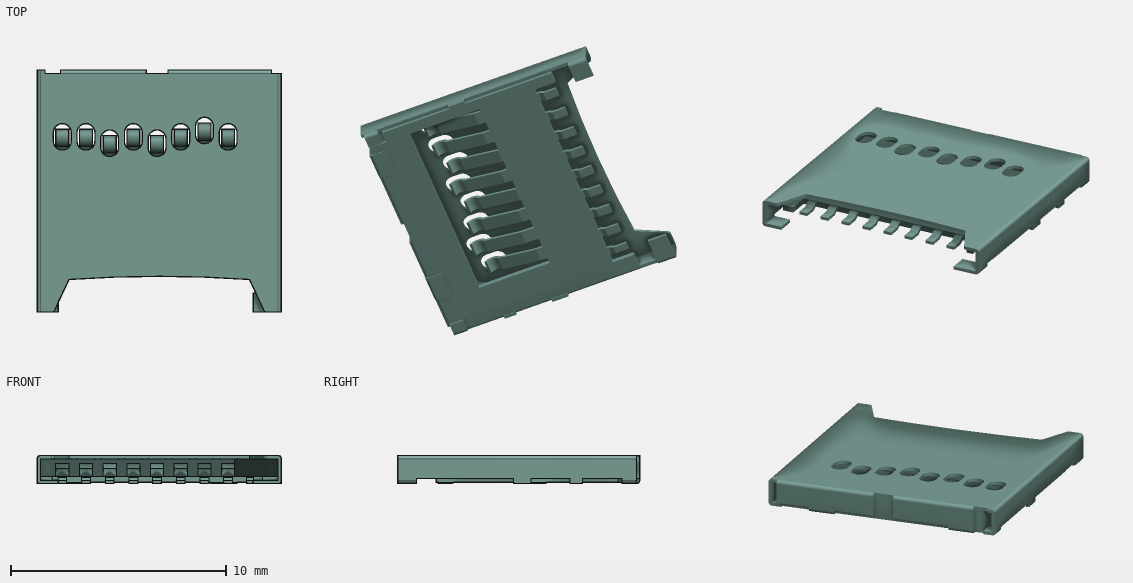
import cadquery as cq
import math

WIDTH = 11.35
LENGTH = 11.25
HEIGHT = 1.32

SHEET = 0.16
HALF_WIDTH = WIDTH / 2
INNER_HALF_WIDTH = HALF_WIDTH - SHEET
CEILING = HEIGHT - SHEET
PLATE_BACK = LENGTH - SHEET
WALL_BOTTOM = 0.24
CORNER_TAB_WIDTH = 0.37

ENTRY_HALF_WIDTH = 4.19
ENTRY_FRONT_HALF_WIDTH = 4.9
ENTRY_CORNER_Y = 1.51
ENTRY_CREST_Y = 1.66
ENTRY_TIP_RADIUS = 0.15

FOOT_LENGTH = 0.89
LEFT_FOOT_REACH = 0.99
RIGHT_FOOT_REACH = 1.32
REAR_FOOT_FRONT = 10.43
REAR_FOOT_REACH = 0.64
LEFT_LEG = (6.08, 6.89)
RIGHT_LEGS = ((5.39, 6.2), (8.0, 8.58))

LEFT_FLANGE = (-4.6, -0.6)
RIGHT_FLANGE = (0.4, 5.22)
LEFT_FLANGE_FOOT = (-4.6, -3.36)
RIGHT_FLANGE_FOOT = (2.37, 3.61)

CONTACT_PITCH = 1.1
FIRST_CONTACT_X = -4.51
CONTACT_Y = 8.09
CONTACT_SHIFTS = (0, 0, -0.3, 0, -0.3, 0, 0.3, 0)
STRIP = 0.15
SPRING_WIDTH = 0.61
SPRING_TOP = 0.93
CAP_RADIUS = 0.5
CAP_HALF_LENGTH = 0.41
SPRING_ANGLE = 13.5
STRIP_TOP = 2 * STRIP
TAIL_WIDTH = 0.41
TAIL_FRONT = 1.86
TAIL_BEND_Y = 2.43
TAIL_RISE_LENGTH = 0.23
SWITCH_TAIL_X = 4.22
SWITCH_TAIL_WIDTH = 0.32

HOLE_WIDTH = 0.82
HOLE_LENGTH = 1.23
HOLE_OFFSET = 0.05

BASE_BOTTOM = 0.06
FLOOR = 0.34
BASE_FRONT = 2.84
SIDE_ARM_FRONT = 1.78
LEFT_ARM_X = -4.99
RIGHT_ARM_X = 4.8
WINDOW_X = (-4.99, 3.75)
WINDOW_Y = (5.56, 9.1)
BACK_WALL_FRONT = 10.05
SLANT_START_X = 3.51
SLANT_END_Y = 6.55
CORNER_NOTCH_X = 4.99
CORNER_NOTCH_Y = 10.24


def block(x_range, y_range, z_range):
    """Box between the given limits."""
    x, y, z = x_range[0], y_range[0], z_range[0]
    size = (x_range[1] - x, y_range[1] - y, z_range[1] - z)
    return cq.Workplane("XY").box(*size, centered=False).translate((x, y, z))


CONTACTS = [
    (FIRST_CONTACT_X + i * CONTACT_PITCH, CONTACT_Y + shift) for i, shift in enumerate(CONTACT_SHIFTS)
]



def channel():
    """Top plate and both side walls, bent along the two long edges."""
    outer = block((-HALF_WIDTH, HALF_WIDTH), (0, LENGTH), (WALL_BOTTOM, HEIGHT))
    outer = outer.edges("|Y and >Z").fillet(SHEET)
    return outer.cut(block((-INNER_HALF_WIDTH, INNER_HALF_WIDTH), (0, LENGTH), (WALL_BOTTOM, CEILING)))


def back_relief():
    """Material removed behind the top plate, right of the corner tab."""
    return block((CORNER_TAB_WIDTH - HALF_WIDTH, HALF_WIDTH), (PLATE_BACK, LENGTH), (0, HEIGHT))


def entry_cutout():
    """Front cut-out with slanted sides and a slightly arched rear edge."""
    return (
        cq.Workplane("XY", origin=(0, 0, CEILING))
        .moveTo(-ENTRY_FRONT_HALF_WIDTH, 0)
        .lineTo(-ENTRY_HALF_WIDTH, ENTRY_CORNER_Y)
        .threePointArc((0, ENTRY_CREST_Y), (ENTRY_HALF_WIDTH, ENTRY_CORNER_Y))
        .lineTo(ENTRY_FRONT_HALF_WIDTH, 0)
        .close()
        .extrude(SHEET)
    )


def viewing_holes():
    """One slotted hole above each contact spring."""
    centres = [(x, y + HOLE_OFFSET) for x, y in CONTACTS]
    return (
        cq.Workplane("XY", origin=(0, 0, CEILING))
        .pushPoints(centres)
        .slot2D(HOLE_LENGTH, HOLE_WIDTH, 90)
        .extrude(SHEET)
    )


def left_foot(y_range, reach):
    """Foot bent inwards from the left wall."""
    x_range = (-HALF_WIDTH, reach - HALF_WIDTH)
    outer = block(x_range, y_range, (0, WALL_BOTTOM)).edges("|Y and <X and <Z").fillet(SHEET)
    return outer.cut(block((-INNER_HALF_WIDTH, x_range[1]), y_range, (SHEET, WALL_BOTTOM)))


def right_foot(y_range, reach):
    """Foot bent inwards from the right wall."""
    return left_foot(y_range, reach).mirror("YZ")


def back_flange(x_range, foot_x_range):
    """Flange bent down from the back of the top plate, with one foot bent forwards."""
    lap_start = PLATE_BACK - SHEET
    flange = block(x_range, (lap_start, LENGTH), (WALL_BOTTOM, HEIGHT))
    flange = flange.edges("|X and >Y and >Z").fillet(SHEET)
    flange = flange.cut(block(x_range, (lap_start, PLATE_BACK), (WALL_BOTTOM, CEILING)))
    foot = block(foot_x_range, (REAR_FOOT_FRONT, LENGTH), (0, WALL_BOTTOM))
    foot = foot.edges("|X and >Y and <Z").fillet(SHEET)
    foot = foot.cut(block(foot_x_range, (REAR_FOOT_FRONT, PLATE_BACK), (SHEET, WALL_BOTTOM)))
    return flange.union(foot)


def make_shell():
    shell = channel().cut(back_relief()).cut(entry_cutout())
    for tip_x in (-ENTRY_FRONT_HALF_WIDTH, ENTRY_FRONT_HALF_WIDTH):
        tip = cq.NearestToPointSelector((tip_x, 0, CEILING + SHEET / 2))
        shell = shell.edges(tip).fillet(ENTRY_TIP_RADIUS)
    shell = shell.cut(viewing_holes())

    front_foot = (0, FOOT_LENGTH)
    rear_foot = (REAR_FOOT_FRONT, PLATE_BACK)
    shell = shell.union(left_foot(front_foot, LEFT_FOOT_REACH))
    shell = shell.union(right_foot(front_foot, RIGHT_FOOT_REACH))
    shell = shell.union(left_foot(rear_foot, REAR_FOOT_REACH))
    shell = shell.union(right_foot(rear_foot, REAR_FOOT_REACH))

    shell = shell.union(block((-HALF_WIDTH, -INNER_HALF_WIDTH), LEFT_LEG, (0, WALL_BOTTOM)))
    for leg in RIGHT_LEGS:
        shell = shell.union(block((INNER_HALF_WIDTH, HALF_WIDTH), leg, (0, WALL_BOTTOM)))

    shell = shell.union(back_flange(LEFT_FLANGE, LEFT_FLANGE_FOOT))
    return shell.union(back_flange(RIGHT_FLANGE, RIGHT_FLANGE_FOOT))



def base_floor():
    """Floor plate with a side arm reaching forwards on each side and one window for the springs."""
    z_range = (BASE_BOTTOM, FLOOR)
    floor = block((-INNER_HALF_WIDTH, INNER_HALF_WIDTH), (SIDE_ARM_FRONT, PLATE_BACK), z_range)
    floor = floor.cut(block((LEFT_ARM_X, RIGHT_ARM_X), (SIDE_ARM_FRONT, BASE_FRONT), z_range))
    return floor.cut(block(WINDOW_X, WINDOW_Y, z_range))


def back_wall():
    """Wall that stops the card, with a slanted corner on the right."""
    return (
        cq.Workplane("XY", origin=(0, 0, FLOOR))
        .polyline([
            (-INNER_HALF_WIDTH, BACK_WALL_FRONT),
            (SLANT_START_X, BACK_WALL_FRONT),
            (INNER_HALF_WIDTH, SLANT_END_Y),
            (INNER_HALF_WIDTH, PLATE_BACK),
            (-INNER_HALF_WIDTH, PLATE_BACK),
        ])
        .close()
        .extrude(CEILING - FLOOR)
    )


def rear_clearance():
    """Notches in both rear corners and recesses for the feet of the back flanges."""
    notch_y = (CORNER_NOTCH_Y, PLATE_BACK)
    full_height = (BASE_BOTTOM, CEILING)
    cuts = block((-INNER_HALF_WIDTH, -CORNER_NOTCH_X), notch_y, full_height)
    cuts = cuts.union(block((CORNER_NOTCH_X, INNER_HALF_WIDTH), notch_y, full_height))
    for foot_x in (LEFT_FLANGE_FOOT, RIGHT_FLANGE_FOOT):
        cuts = cuts.union(block(foot_x, (REAR_FOOT_FRONT, PLATE_BACK), (BASE_BOTTOM, SHEET)))
    return cuts


def contact_spring(x, crest_y):
    """Strip that runs level from the front of the window, slopes up and ends in a rounded cap."""
    axis_z = SPRING_TOP - CAP_RADIUS
    end_angle = math.asin(CAP_HALF_LENGTH / CAP_RADIUS)
    end_z = axis_z + CAP_RADIUS * math.cos(end_angle)
    inner_radius = CAP_RADIUS - STRIP
    inner_half_length = inner_radius * math.sin(end_angle)
    inner_end_z = axis_z + inner_radius * math.cos(end_angle)

    slope = math.tan(math.radians(SPRING_ANGLE))
    cap_front = crest_y - CAP_HALF_LENGTH
    inner_cap_front = crest_y - inner_half_length
    slope_start = cap_front - (end_z - STRIP_TOP) / slope
    slope_bottom_end_z = STRIP + (inner_cap_front - slope_start) * slope
    return (
        cq.Workplane("YZ", origin=(x - SPRING_WIDTH / 2, 0, 0))
        .moveTo(WINDOW_Y[0], STRIP)
        .lineTo(WINDOW_Y[0], STRIP_TOP)
        .lineTo(slope_start, STRIP_TOP)
        .lineTo(cap_front, end_z)
        .threePointArc((crest_y, SPRING_TOP), (crest_y + CAP_HALF_LENGTH, end_z))
        .lineTo(crest_y + inner_half_length, inner_end_z)
        .threePointArc((crest_y, axis_z + inner_radius), (inner_cap_front, inner_end_z))
        .lineTo(inner_cap_front, slope_bottom_end_z)
        .lineTo(slope_start, STRIP)
        .close()
        .extrude(SPRING_WIDTH)
    )


def tail(x, width):
    """Solder tail that steps down from the base front to the board."""
    bend_end = TAIL_BEND_Y + TAIL_RISE_LENGTH
    return (
        cq.Workplane("YZ", origin=(x - width / 2, 0, 0))
        .polyline([
            (TAIL_FRONT, 0),
            (TAIL_BEND_Y + STRIP / 2, 0),
            (bend_end + STRIP / 2, STRIP),
            (BASE_FRONT, STRIP),
            (BASE_FRONT, STRIP_TOP),
            (bend_end, STRIP_TOP),
            (TAIL_BEND_Y, STRIP),
            (TAIL_FRONT, STRIP),
        ])
        .close()
        .extrude(width)
    )


def make_base():
    base = base_floor().union(back_wall()).cut(rear_clearance())
    for x, crest_y in CONTACTS:
        base = base.union(contact_spring(x, crest_y)).union(tail(x, TAIL_WIDTH))
    return base.union(tail(SWITCH_TAIL_X, SWITCH_TAIL_WIDTH))


shell = make_shell()
base = make_base()
result = cq.Compound.makeCompound([shell.solids().val(), base.solids().val()])